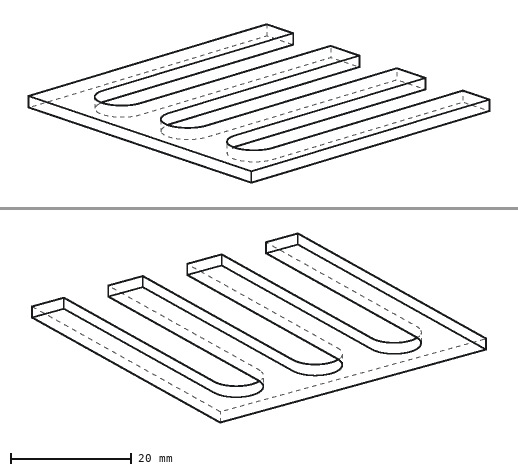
import cadquery as cq

plate_width = 54.0
plate_length = 54.5
plate_thickness = 2.0

slot_count = 3
slot_width = 9.0
slot_pitch = 16.0
base_depth = 6.5

slot_radius = slot_width / 2
back_edge_y = plate_length / 2
slot_center_y = -back_edge_y + base_depth + slot_radius


def open_slot(center_x):
    """Cutter with a semicircular bottom, running out through the +Y edge."""
    left_x = center_x - slot_radius
    right_x = center_x + slot_radius
    return (
        cq.Workplane("XY")
        .moveTo(left_x, back_edge_y)
        .lineTo(left_x, slot_center_y)
        .threePointArc((center_x, slot_center_y - slot_radius), (right_x, slot_center_y))
        .lineTo(right_x, back_edge_y)
        .close()
        .extrude(plate_thickness)
    )


result = cq.Workplane("XY").box(
    plate_width, plate_length, plate_thickness, centered=(True, True, False)
)

for index in range(slot_count):
    slot_x = (index - (slot_count - 1) / 2) * slot_pitch
    result = result.cut(open_slot(slot_x))